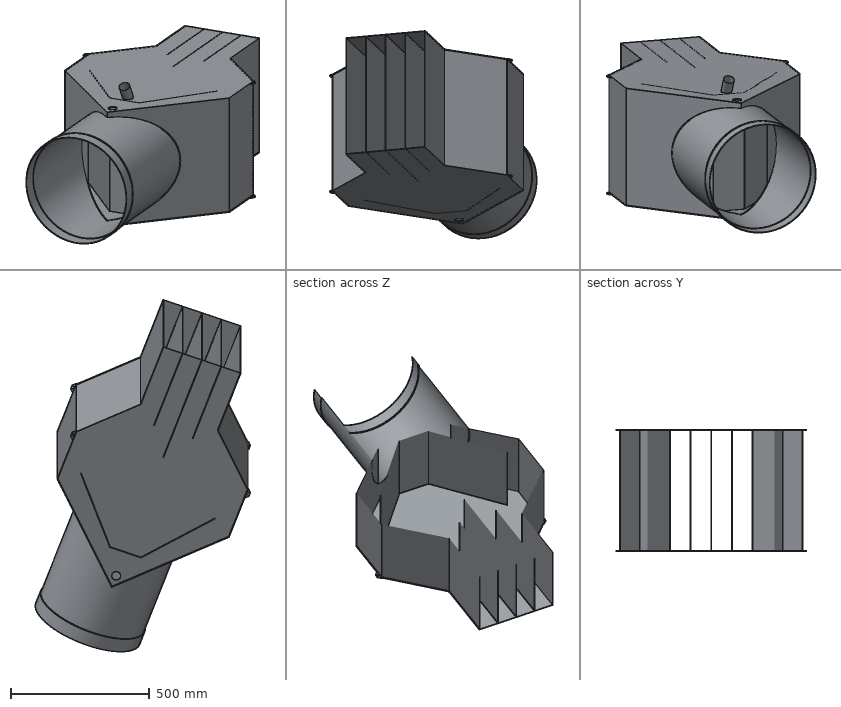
import cadquery as cq
import math


sheet = 3.0
housing_width = 664.0
housing_height = 441.0
outlet_width = 300.0
shoulder_start_y = 530.0
outlet_end_y = 951.0
half_width = housing_width / 2
half_outlet = outlet_width / 2
half_height = housing_height / 2
inner_height = housing_height - 2 * sheet
shoulder_end_y = shoulder_start_y + half_width - half_outlet

pipe_diameter = 400.0
pipe_bore = 394.0
collar_diameter = 406.0
collar_front_y = outlet_end_y - 1202
collar_length = 54.0
collar_overlap = 4.0
wall_opening_width = 296.0

stub_diameter = 40.0
stub_bore = 38.0
stub_tilt = 30.0
stub_rise = 61.0
stub_base_y = 174.0

tip_hole_diameter = 32.0
tip_hole_y = 48.0
ear_reach = 688.0 / 2
ear_y = 515.0
ear_base_width = 38.0
ear_tip_width = 16.0
ear_hole_diameter = 9.0
ear_hole_x = 338.0

deflector_nose_half = 60.0
deflector_nose_y = 144.0
deflector_tail_half = 260.0
deflector_tail_y = 381.0
vane_spacing = 75.0
center_vane_start_y = 543.0
side_vane_start_y = 649.0


def mirrored(right_points):
    """Extend points on the +X side with their mirror images, in order."""
    return right_points + [(-x, y) for x, y in reversed(right_points)]


def prism(points, height):
    """Closed outline extruded equally above and below mid-height."""
    return cq.Workplane("XY").polyline(points).close().extrude(height / 2, both=True)


def housing_outline(inset, tip_y, end_y):
    """Housing outline with all side walls moved inward by the inset."""
    corner_shift = inset * math.tan(math.pi / 8)
    right_side = [
        (half_outlet - inset, end_y),
        (half_outlet - inset, shoulder_end_y - corner_shift),
        (half_width - inset, shoulder_start_y - corner_shift),
        (half_width - inset, half_width + corner_shift),
    ]
    return [(0, tip_y)] + right_side[::-1] + [(-x, y) for x, y in right_side]


def y_cylinder(diameter, start_y, end_y):
    """Cylinder along Y on the inlet axis."""
    plane = cq.Workplane("XZ", origin=(0, start_y, 0))
    return plane.circle(diameter / 2).extrude(start_y - end_y)


def ear(side):
    """Tapered ear on one side of both cover plates."""
    points = [
        (side * (half_width - sheet), ear_y - ear_base_width / 2),
        (side * half_width, ear_y - ear_base_width / 2),
        (side * ear_reach, ear_y - ear_tip_width / 2),
        (side * ear_reach, ear_y + ear_tip_width / 2),
        (side * half_width, ear_y + ear_base_width / 2),
        (side * (half_width - sheet), ear_y + ear_base_width / 2),
    ]
    return prism(points, housing_height).cut(prism(points, inner_height))


outer = prism(housing_outline(0, 0, outlet_end_y), housing_height)
cavity = prism(housing_outline(sheet, sheet * math.sqrt(2), outlet_end_y + sheet), inner_height)
housing = outer.cut(cavity)
for side in (-1, 1):
    housing = housing.union(ear(side))

opening = y_cylinder(pipe_bore, 0, half_width).intersect(
    cq.Workplane("XY").box(wall_opening_width, 2 * half_width, inner_height)
)
housing = housing.cut(opening)

pipe_front_y = collar_front_y + collar_length - collar_overlap
collar_back_y = collar_front_y + collar_length
pipe = y_cylinder(pipe_diameter, pipe_front_y, half_width)
pipe = pipe.cut(y_cylinder(pipe_bore, pipe_front_y, half_width)).cut(outer)
collar = y_cylinder(collar_diameter, collar_front_y, collar_back_y)
collar = collar.cut(y_cylinder(pipe_diameter, collar_front_y, collar_back_y))

wing_angle = math.atan2(deflector_tail_y - deflector_nose_y, deflector_tail_half - deflector_nose_half)
nose_shift = sheet * math.tan(wing_angle / 2)
tail_dx = sheet * math.sin(wing_angle)
tail_dy = sheet * math.cos(wing_angle)
deflector_front = [
    (deflector_tail_half, deflector_tail_y),
    (deflector_nose_half, deflector_nose_y),
]
deflector_back = [
    (-(deflector_tail_half - tail_dx), deflector_tail_y + tail_dy),
    (-(deflector_nose_half - nose_shift), deflector_nose_y + sheet),
]
deflector = prism(mirrored(deflector_front) + mirrored(deflector_back), inner_height)

result = housing.union(pipe).union(collar).union(deflector)

for vane_x, start_y in (
    (-vane_spacing, side_vane_start_y),
    (0, center_vane_start_y),
    (vane_spacing, side_vane_start_y),
):
    vane_length = outlet_end_y - start_y
    vane = cq.Workplane("XY").box(sheet, vane_length, inner_height)
    result = result.union(vane.translate((vane_x, start_y + vane_length / 2, 0)))

tilt = math.radians(stub_tilt)
stub_length = (stub_rise - stub_diameter / 2 * math.sin(tilt)) / math.cos(tilt)
stub_plane = cq.Plane(
    origin=(0, stub_base_y, half_height),
    xDir=(1, 0, 0),
    normal=(0, -math.sin(tilt), math.cos(tilt)),
)
stub_root = cq.Workplane(stub_plane).workplane(offset=-stub_diameter)
stub = stub_root.circle(stub_diameter / 2).extrude(stub_diameter + stub_length)
bore = stub_root.circle(stub_bore / 2).extrude(stub_diameter + stub_length)
result = result.union(stub.cut(cavity)).cut(bore)

hole_tool_height = housing_height + 2 * sheet
for hole_x, hole_y, diameter in (
    (0, tip_hole_y, tip_hole_diameter),
    (-ear_hole_x, ear_y, ear_hole_diameter),
    (ear_hole_x, ear_y, ear_hole_diameter),
):
    hole = cq.Workplane("XY").center(hole_x, hole_y).circle(diameter / 2)
    result = result.cut(hole.extrude(hole_tool_height / 2, both=True))